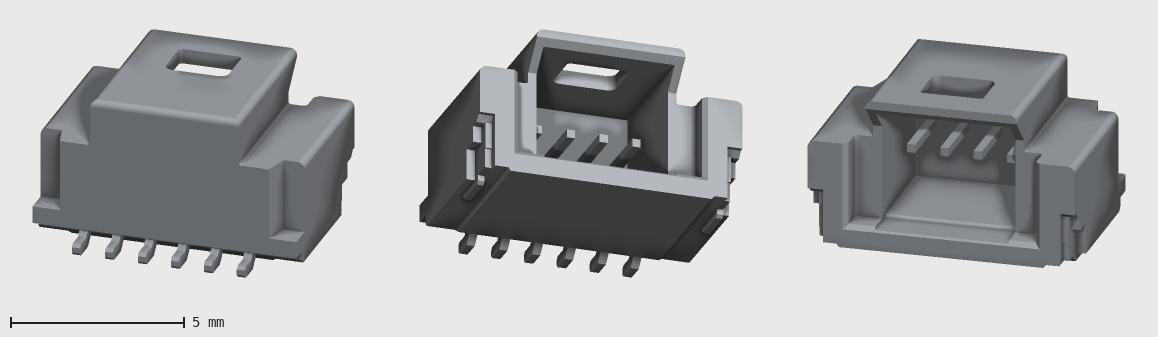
import cadquery as cq


width = 8.0
depth = 5.35
height = 4.7
shoulder_z = 3.3
tower_half_width = 2.26
edge_radius = 0.2
inner_radius = 0.08

base_z = 0.1
side_base_z = 0.2
keel_half_width = 3.06
keel_chamfer = 0.08
front_lip_z = 0.6
front_step_depth = 0.54
front_slope_height = 0.21

notch_depth = 0.75
notch_front_width = 0.83
notch_back_width = 0.64
notch_floor_z = 1.12

cavity_half_width = 2.0
front_wall = 1.0
floor_z = 0.8
roof_thickness = 0.45
mouth_chamfer = 0.14
floor_step_y = 4.15
floor_step_drop = 0.085

pocket_depth = 0.8
pocket_half_width = 2.81
pocket_radius = 0.14
tower_lip_z = 4.45

window_half_width = 0.95
window_front_y = 2.81
window_back_y = 4.285
window_front_radius = 0.25
window_back_radius = 0.12

contact_count = 6
pitch = 1.0
contact_width = 0.25
tail_reach = 0.55
tail_thickness = 0.35
tail_chamfer = 0.09
tail_front_y = 0.14
tail_bend = 0.15
tail_heel_y = 0.17
pin_tip_y = 3.235
pin_z = 2.4

nail_outer_x = 3.74
nail_inner_x = 3.54
nail_back_y = 5.075
nail_waist_y = 5.01
nail_waist_z = 0.845
nail_lower_z = 0.26
foot_back_y = 4.41
foot_front_y = 3.11
foot_chamfer = 0.09

upper_step_y = 4.73
upper_step_z = 1.63
lower_step_y = 4.16
lower_step_z = 1.14
opening_top_z = 1.82
opening_slope_top_y = 5.2
opening_slope_base_y = 5.035

outer_x = width / 2
pocket_y = depth - pocket_depth
roof_z = height - roof_thickness


def box(x_range, y_range, z_range):
    """Box between the given limits."""
    sizes = [high - low for low, high in (x_range, y_range, z_range)]
    corner = (x_range[0], y_range[0], z_range[0])
    return cq.Workplane("XY").box(*sizes, centered=False).translate(corner)


def side_plate(points, x_low, x_high):
    """Plate with a (Y, Z) outline between two X positions."""
    plate = cq.Workplane("YZ").workplane(offset=x_low)
    return plate.polyline(points).close().extrude(x_high - x_low)


def both_sides(shape):
    """The shape together with its mirror image across X = 0."""
    return shape.union(shape.mirror("YZ"))


def make_housing_block():
    slope_z = base_z + front_slope_height
    lower_outline = [
        (0, front_lip_z),
        (front_step_depth, front_lip_z),
        (front_step_depth, slope_z),
        (front_step_depth + front_slope_height, base_z),
        (depth, base_z),
        (depth, shoulder_z),
        (0, shoulder_z),
    ]
    lower = side_plate(lower_outline, -outer_x, outer_x)
    lower = lower.edges("|Y and >Z").fillet(edge_radius)

    tower_x = (-tower_half_width, tower_half_width)
    tower = box(tower_x, (0, depth), (shoulder_z - edge_radius, height))
    tower = tower.edges("(|Y and >Z) or (|X and >Z and <Y)").fillet(edge_radius)

    block = lower.union(tower)
    for x in tower_x:
        inner_corner = cq.selectors.NearestToPointSelector((x, depth / 2, shoulder_z))
        block = block.edges(inner_corner).fillet(inner_radius)
    return block


def make_underside_reliefs():
    """Material removed on each side of the lower central keel."""
    outline = [
        (keel_half_width, base_z),
        (keel_half_width + keel_chamfer, side_base_z),
        (outer_x, side_base_z),
        (outer_x, base_z),
    ]
    relief = cq.Workplane("XZ").polyline(outline).close().extrude(-depth)
    return both_sides(relief)


def make_corner_notches():
    outline = [
        (outer_x, 0),
        (outer_x - notch_front_width, 0),
        (outer_x - notch_back_width, notch_depth),
        (outer_x, notch_depth),
    ]
    notch = cq.Workplane("XY").workplane(offset=notch_floor_z).polyline(outline).close()
    return both_sides(notch.extrude(height - notch_floor_z))


def make_cavity():
    main_x = (-cavity_half_width, cavity_half_width)
    cavity = box(main_x, (front_wall, depth), (floor_z, roof_z))

    pocket_x = (-pocket_half_width, pocket_half_width)
    pockets = box(pocket_x, (pocket_y, depth), (floor_z, shoulder_z + inner_radius))
    pockets = pockets.edges("|Z and <Y").fillet(pocket_radius)

    mouth_half_width = pocket_half_width + mouth_chamfer
    mouth_outline = [
        (-pocket_half_width, depth - mouth_chamfer),
        (pocket_half_width, depth - mouth_chamfer),
        (mouth_half_width, depth),
        (-mouth_half_width, depth),
    ]
    mouth_base = cq.Workplane("XY").workplane(offset=floor_z - mouth_chamfer)
    mouth = mouth_base.polyline(mouth_outline).close().extrude(shoulder_z - floor_z + mouth_chamfer)
    bevel_outline = [
        (depth - mouth_chamfer, floor_z),
        (depth, floor_z - mouth_chamfer),
        (depth, height),
        (depth - mouth_chamfer, height),
    ]
    mouth = mouth.intersect(side_plate(bevel_outline, -mouth_half_width, mouth_half_width))

    step_outline = [
        (floor_step_y, floor_z),
        (floor_step_y + floor_step_drop, floor_z - floor_step_drop),
        (depth, floor_z - floor_step_drop),
        (depth, floor_z),
    ]
    floor_step = side_plate(step_outline, *main_x)
    return cavity.union(pockets).union(mouth).union(floor_step)


def make_tower_undercut():
    """45 degree cut that leaves the roof overhanging at the mouth."""
    outline = [
        (depth, tower_lip_z),
        (pocket_y, tower_lip_z - pocket_depth),
        (pocket_y, shoulder_z),
        (depth, shoulder_z),
    ]
    return side_plate(outline, -outer_x, outer_x)


def make_window():
    window_x = (-window_half_width, window_half_width)
    window = box(window_x, (window_front_y, window_back_y), (roof_z, height))
    window = window.edges("|Z and <Y").fillet(window_front_radius)
    return window.edges("|Z and >Y").fillet(window_back_radius)


def make_nail_recesses():
    """Stepped openings in the side walls that expose the fitting nails."""
    outline = [
        (depth, opening_top_z),
        (opening_slope_top_y, opening_top_z),
        (opening_slope_base_y, upper_step_z),
        (upper_step_y, upper_step_z),
        (upper_step_y, lower_step_z),
        (lower_step_y, lower_step_z),
        (lower_step_y, side_base_z),
        (depth, side_base_z),
    ]
    return both_sides(side_plate(outline, nail_inner_x, outer_x))


def make_nails():
    """Upright plates in the recesses, each with a solder foot under the side wall."""
    outline = [
        (nail_back_y, upper_step_z),
        (nail_back_y, nail_waist_z),
        (nail_waist_y, nail_waist_z),
        (nail_waist_y, nail_lower_z),
        (foot_back_y, nail_lower_z),
        (foot_back_y, foot_chamfer),
        (foot_back_y - foot_chamfer, 0),
        (foot_front_y + foot_chamfer, 0),
        (foot_front_y, foot_chamfer),
        (foot_front_y, side_base_z),
        (lower_step_y, side_base_z),
        (lower_step_y, lower_step_z),
        (upper_step_y, lower_step_z),
        (upper_step_y, upper_step_z),
    ]
    return both_sides(side_plate(outline, nail_inner_x, nail_outer_x))


def make_contact(x):
    """Contact pin inside the cavity and the bent solder tail below the front wall."""
    x_low = x - contact_width / 2
    x_high = x + contact_width / 2
    heel_z = front_step_depth - tail_heel_y
    tail_outline = [
        (tail_front_y, front_lip_z),
        (tail_front_y, tail_thickness + tail_bend),
        (tail_front_y - tail_bend, tail_thickness),
        (tail_chamfer - tail_reach, tail_thickness),
        (-tail_reach, tail_thickness - tail_chamfer),
        (-tail_reach, tail_chamfer),
        (tail_chamfer - tail_reach, 0),
        (tail_heel_y, 0),
        (front_step_depth, heel_z),
        (front_step_depth, front_lip_z),
    ]
    tail = side_plate(tail_outline, x_low, x_high)
    pin = box((x_low, x_high), (front_step_depth, pin_tip_y), (pin_z, pin_z + contact_width))
    return tail.union(pin)


result = make_housing_block()
result = result.cut(make_underside_reliefs())
result = result.cut(make_corner_notches())
result = result.cut(make_cavity())
result = result.cut(make_tower_undercut())
result = result.cut(make_window())
result = result.cut(make_nail_recesses())
result = result.union(make_nails())
for index in range(contact_count):
    contact_x = (index - (contact_count - 1) / 2) * pitch
    result = result.union(make_contact(contact_x))